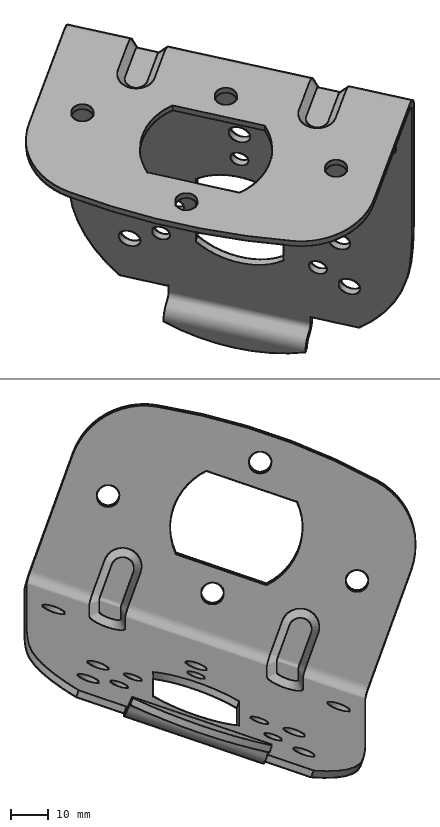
import cadquery as cq
import math


sheet = 2.0
width = 95.0
height = 112.3
flange_reach = 61.0

bend_inner_radius = 3.0
bend_outer_radius = bend_inner_radius + sheet

flange_front_radius = 179.7
flange_corner_radius = 20.0

taper_start_depth = 53.1
taper_end_depth = 69.4
taper_inset = 0.7
plate_bottom_depth = 99.0
plate_bottom_width = 65.9

tab_width = 39.1
tab_end_radius = 45.0
jog_depth = 101.3
jog_offset = 4.9
jog_inner_radius = 2.0
jog_outer_radius = jog_inner_radius + sheet

window_diameter = 35.0
window_flat_width = 24.1
plate_window_depth = 65.5
flange_window_reach = 34.0

mount_hole_diameter = 6.0
small_hole_diameter = 4.9
corner_hole_diameter = 6.3
corner_hole_offset = 40.0
corner_hole_depth = 22.5
outer_ring_radius = 34.9
inner_ring_radius = 24.9
ring_low_angle = 30
outer_side_offset = 27.5
inner_side_offset = 17.7

flange_hole_spacing = 38.0
flange_side_hole_offset = 34.9
flange_side_hole_reach = 31.0

rib_offset = 24.9
rib_height = 2.0
rib_draft = 45
rib_mouth_radius = 5.0
rib_floor_radius = rib_mouth_radius - rib_height * math.tan(math.radians(rib_draft))
rib_plate_depth = 17.0
rib_flange_reach = 14.2


def sheet_solid():
    """Side profile of the bent sheet swept across the full width."""
    jog_angle = math.acos(1 - jog_offset / (jog_inner_radius + jog_outer_radius))
    jog_end_depth = jog_depth + (jog_inner_radius + jog_outer_radius) * math.sin(jog_angle)

    def jog_middle(start_reach, radius):
        reach = start_reach + radius * (1 - math.cos(jog_angle))
        return (-reach, -jog_depth - radius * math.sin(jog_angle))

    profile = (
        cq.Workplane("YZ")
        .moveTo(-flange_reach, 0)
        .lineTo(-bend_outer_radius, 0)
        .tangentArcPoint((0, -bend_outer_radius), relative=False)
        .lineTo(0, -jog_depth)
        .tangentArcPoint(jog_middle(0, jog_outer_radius), relative=False)
        .tangentArcPoint((-jog_offset, -jog_end_depth), relative=False)
        .lineTo(-jog_offset, -height)
        .lineTo(-jog_offset - sheet, -height)
        .lineTo(-jog_offset - sheet, -jog_end_depth)
        .tangentArcPoint(jog_middle(sheet, jog_inner_radius), relative=False)
        .tangentArcPoint((-sheet, -jog_depth), relative=False)
        .lineTo(-sheet, -bend_outer_radius)
        .tangentArcPoint((-bend_outer_radius, -sheet), relative=False)
        .lineTo(-flange_reach, -sheet)
        .close()
    )
    return profile.extrude(width / 2, both=True)


def plate_outline():
    """Block with the outline of plate and tab, deep enough to span the flange."""
    half = width / 2
    half_tab = tab_width / 2
    tab_sagitta = tab_end_radius - math.sqrt(tab_end_radius**2 - half_tab**2)
    right_half = (
        cq.Workplane("XZ")
        .lineTo(half, 0)
        .lineTo(half, -taper_start_depth)
        .tangentArcPoint((half - taper_inset, -taper_end_depth), relative=False)
        .tangentArcPoint((plate_bottom_width / 2, -plate_bottom_depth), relative=False)
        .lineTo(half_tab, -plate_bottom_depth)
        .lineTo(half_tab, -height + tab_sagitta)
        .radiusArc((0, -height), tab_end_radius)
        .close()
        .extrude(flange_reach)
    )
    return right_half.union(right_half.mirror("YZ"))


def flange_outline():
    """Block with the outline of the flange, tall enough to span the plate."""
    half = width / 2
    front_sagitta = flange_front_radius - math.sqrt(flange_front_radius**2 - half**2)
    side_reach = flange_reach - front_sagitta
    return (
        cq.Workplane("XY")
        .moveTo(-half, 0)
        .lineTo(-half, -side_reach)
        .threePointArc((0, -flange_reach), (half, -side_reach))
        .lineTo(half, 0)
        .close()
        .extrude(-height)
        .edges("|Z")
        .edges("<Y")
        .fillet(flange_corner_radius)
    )


def mirrored(x, y):
    """A point and its mirror image across the centre line."""
    return [(x, y), (-x, y)]


def rib_fingers(face, end_distance, start_depth):
    """Pair of drafted, round-ended fingers sunk into a face, starting where the bend ends.

    The face's local y is the distance from the bent edge and its normal points into the sheet.
    """
    overrun = 2 * rib_mouth_radius
    round_end = end_distance + rib_mouth_radius
    fingers = (
        cq.Workplane(face)
        .workplane(offset=start_depth)
        .pushPoints(mirrored(rib_offset, (round_end - overrun) / 2))
        .slot2D(round_end + overrun, 2 * rib_mouth_radius, 90)
        .extrude(rib_height, taper=rib_draft)
    )
    flat_part = (
        cq.Workplane(face)
        .center(0, bend_outer_radius + round_end / 2)
        .rect(width, round_end)
        .extrude(start_depth + rib_height)
    )
    return fingers.intersect(flat_part)


def rib_elbow(x, start_depth):
    """Quarter turn of a rib's drafted section around the axis of the main bend."""
    mouth = bend_outer_radius - start_depth
    floor = mouth - rib_height
    return (
        cq.Workplane("XZ", origin=(x, -bend_outer_radius, -bend_outer_radius))
        .moveTo(-rib_mouth_radius, mouth)
        .lineTo(rib_mouth_radius, mouth)
        .lineTo(rib_floor_radius, floor)
        .lineTo(-rib_floor_radius, floor)
        .close()
        .revolve(90, (0, 0), (-1, 0))
    )


def ribs(start_depth):
    """Both ribs over flange, bend and plate, starting at a depth below the outer faces."""
    flange_face = cq.Plane(origin=(0, 0, 0), xDir=(1, 0, 0), normal=(0, 0, -1))
    plate_face = cq.Plane(origin=(0, 0, 0), xDir=(-1, 0, 0), normal=(0, -1, 0))
    body = rib_fingers(flange_face, rib_flange_reach, start_depth)
    body = body.union(rib_fingers(plate_face, rib_plate_depth, start_depth))
    for x in (-rib_offset, rib_offset):
        body = body.union(rib_elbow(x, start_depth))
    return body


def window(plane, center, flat_angle):
    """Cutter for a round window with two flats, parallel to the local direction flat_angle."""
    disc = cq.Workplane(plane).center(*center).circle(window_diameter / 2)
    slab = (
        cq.Workplane(plane)
        .center(*center)
        .transformed(rotate=(0, 0, flat_angle))
        .rect(window_diameter, window_flat_width)
    )
    return disc.extrude(sheet, both=True).intersect(slab.extrude(sheet, both=True))


def holes(plane, diameter, points):
    """Cutters for round holes through the sheet lying on the given plane."""
    return cq.Workplane(plane).pushPoints(points).circle(diameter / 2).extrude(sheet, both=True)


def ring_points(radius, side_offset):
    """Holes around the plate window: one on top, two beside it and two low on the ring."""
    angle = math.radians(ring_low_angle)
    low_x = radius * math.cos(angle)
    low_z = -plate_window_depth - radius * math.sin(angle)
    return [
        (0, radius - plate_window_depth),
        *mirrored(side_offset, -plate_window_depth),
        *mirrored(low_x, low_z),
    ]


bracket = sheet_solid().intersect(plate_outline()).intersect(flange_outline())

bracket = bracket.union(ribs(sheet)).cut(ribs(0))

bracket = bracket.cut(window("XZ", (0, -plate_window_depth), 90))
bracket = bracket.cut(holes("XZ", mount_hole_diameter, ring_points(outer_ring_radius, outer_side_offset)))
bracket = bracket.cut(holes("XZ", small_hole_diameter, ring_points(inner_ring_radius, inner_side_offset)))
corner_points = mirrored(corner_hole_offset, -corner_hole_depth)
bracket = bracket.cut(holes("XZ", corner_hole_diameter, corner_points))

flange_hole_points = [
    (0, -flange_window_reach + flange_hole_spacing / 2),
    (0, -flange_window_reach - flange_hole_spacing / 2),
    *mirrored(flange_side_hole_offset, -flange_side_hole_reach),
]
bracket = bracket.cut(window("XY", (0, -flange_window_reach), 0))
result = bracket.cut(holes("XY", mount_hole_diameter, flange_hole_points))